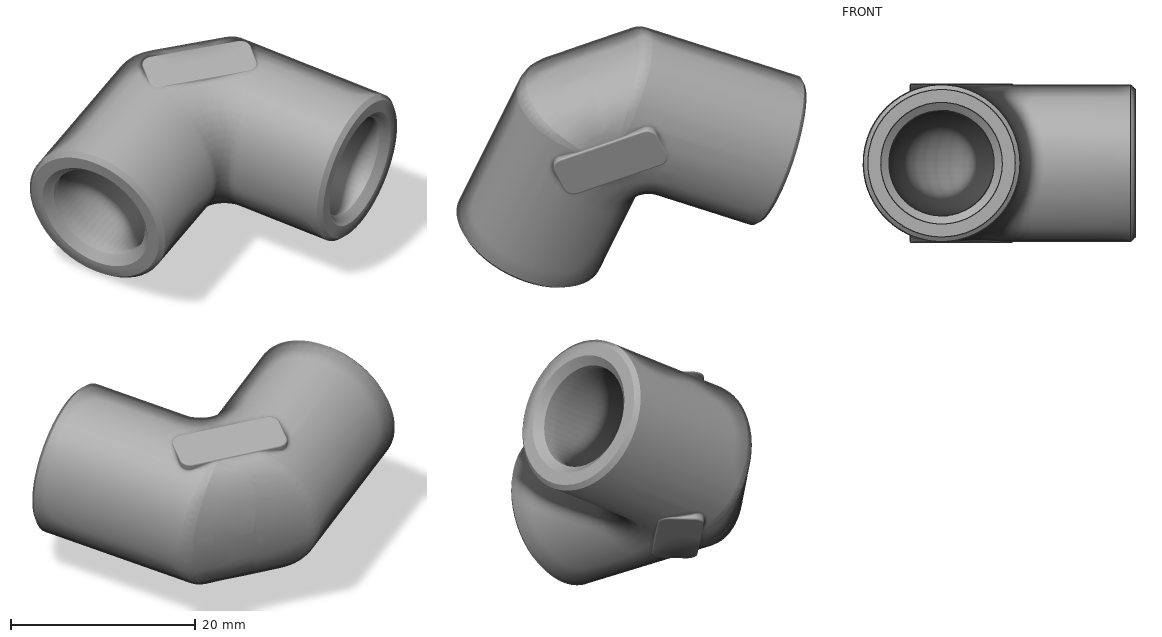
import cadquery as cq
import math

overall = 29.5
outer_d = 17.0
bore_d = 11.42
mouth_d = 13.2
mouth_depth = 0.88
end_chamfer = 0.5
inner_bend_r = 1.03

back_start = 18.95
back_round_r = 1.9
back_depth = 7.52

pad_length = 12.15
pad_width = 5.0
pad_corner_r = 1.2
pad_edge_r = 0.18
pad_base_r = 0.12
pad_height = 8.58
pad_root = 6.5
pad_x = 10.65

outer_r = outer_d / 2
axis_x = outer_r
bend_r = outer_r + inner_bend_r
bend_y = overall - outer_r - bend_r
back_end = overall - back_start
pad_y = overall - pad_x


def mirrored(solid):
    """Copy of a solid reflected in the symmetry plane x + y = overall."""
    turned = solid.rotate((0, overall, 0), (0, overall, 1), 90)
    return turned.mirror("XZ", (0, overall, 0))


def mirrored_point(x, y, z):
    """Reflection of a point in the symmetry plane x + y = overall."""
    return overall - y, overall - x, z


def wall_z(depth):
    """Height of the round wall at a horizontal depth from its outermost line."""
    return math.sqrt(outer_r**2 - (outer_r - depth) ** 2)


def y_rod(diameter, length):
    """Rod on the axis of the -Y leg, from its open end inward."""
    return cq.Workplane("XZ", origin=(axis_x, 0, 0)).circle(diameter / 2).extrude(-length)


def bend(diameter):
    """Quarter torus that joins the two leg axes."""
    profile = cq.Workplane("XZ", origin=(axis_x, bend_y, 0)).circle(diameter / 2)
    return profile.revolve(90, (bend_r, 0, 0), (bend_r, -1, 0))


def mitred_leg():
    """The -Y leg with a chamfered open end, cut off at the symmetry plane."""
    leg = y_rod(outer_d, overall).faces("<Y").chamfer(end_chamfer)
    before_mitre = (
        cq.Workplane("XY", origin=(0, 0, -overall / 2))
        .polyline([(0, 0), (overall, 0), (0, overall)])
        .close()
        .extrude(overall)
    )
    return leg.intersect(before_mitre)


def back_cut():
    """Space outside the slanted back, whose wall is the leg's round section pushed at 45 degrees."""
    half_z = wall_z(back_depth)
    outside = (
        cq.Workplane("XZ", origin=(0, back_start, 0))
        .moveTo(back_depth, -half_z)
        .threePointArc((0, 0), (back_depth, half_z))
        .lineTo(back_depth, overall)
        .lineTo(-overall, overall)
        .lineTo(-overall, -overall)
        .lineTo(back_depth, -overall)
        .close()
        .wires()
        .val()
    )
    push = cq.Vector(overall, overall, 0)
    slant = cq.Workplane(cq.Solid.extrudeLinear(outside, [], push))
    before_end = cq.Workplane().box(
        back_end, 2 * overall, 2 * overall, centered=(False, False, True)
    )
    return slant.intersect(before_end)


def label_pad():
    """Rounded slab along the bend's diagonal, rising just above the round walls."""
    return (
        cq.Workplane("XY", origin=(0, 0, pad_root))
        .rect(pad_length, pad_width)
        .extrude(pad_height - pad_root)
        .edges("|Z")
        .fillet(pad_corner_r)
        .faces(">Z")
        .edges()
        .fillet(pad_edge_r)
        .rotate((0, 0, 0), (0, 0, 1), 45)
        .translate((pad_x, pad_y, 0))
    )


def round_back_creases(solid):
    """Round the two edges where the slanted back meets the legs."""
    crease_point = (0, back_start, 0)
    for point in (crease_point, mirrored_point(*crease_point)):
        solid = solid.edges(cq.selectors.NearestToPointSelector(point)).fillet(back_round_r)
    return solid


def fillet_pad_bases(solid):
    """Blend the pad walls into the body, starting from the back side and one end of each pad."""
    side_step = pad_width / 2 * math.sqrt(0.5)
    side_x = pad_x - side_step
    side_y = pad_y + side_step
    side_z = wall_z(side_x - side_y + back_start)
    end_step = pad_length / 2 * math.sqrt(0.5)
    end_x = pad_x - end_step
    end_y = pad_y - end_step
    end_z = wall_z(end_x)
    curved = solid.edges("not %LINE")
    base = solid.newObject([])
    for side in (1, -1):
        for x, y, z in ((side_x, side_y, side_z), (end_x, end_y, end_z)):
            base = base.add(curved.edges(cq.selectors.NearestToPointSelector((x, y, side * z))))
    return base.fillet(pad_base_r)


def bore():
    """Passage through both legs, with a conical mouth at each open end."""
    mouth = cq.Solid.makeCone(
        mouth_d / 2, bore_d / 2, mouth_depth, cq.Vector(axis_x, 0, 0), cq.Vector(0, 1, 0)
    )
    leg_bore = y_rod(bore_d, bend_y).union(cq.Workplane(mouth))
    return leg_bore.union(bend(bore_d)).union(mirrored(leg_bore))


leg = mitred_leg()
pad = label_pad()
body = leg.union(mirrored(leg)).union(bend(outer_d))
body = body.cut(back_cut())
body = body.union(pad).union(pad.mirror("XY"))
body = round_back_creases(body)
body = fillet_pad_bases(body)
result = body.cut(bore())